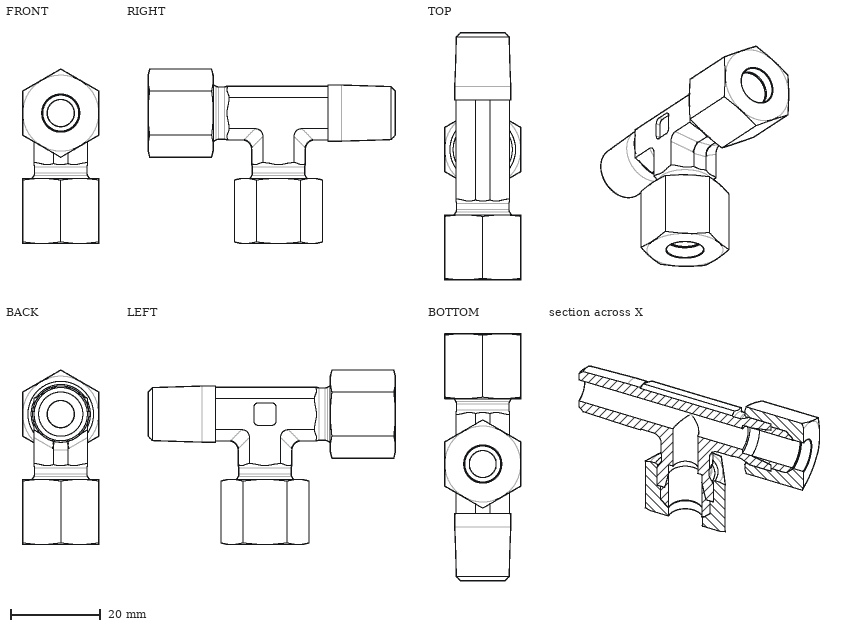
import cadquery as cq
import math

BORE_DIA = 6.0
TUBE_DIA = 8.0
ARM_WIDTH = 12.0
ARM_END = 11.0
CROTCH_RADIUS = 2.0

THREAD_DIA = 14.0
NECK_DIA = 11.7
NECK_RADIUS = 1.0
NECK_END = 13.36
FLARE_ANGLE = math.radians(30)
BODY_END = 21.0
TUBE_STOP = 14.0
SEAT_DIA = 10.0
SEAT_ANGLE = math.radians(12)

COLLAR_DIA = 12.53
COLLAR_END = 14.0
TAPER_RATIO = 1 / 16
TAPER_LENGTH = 11.0
TIP_CHAMFER = 1.0

NUT_ACROSS_FLATS = 17.0
NUT_END = 29.0
NUT_LENGTH = 14.5
NUT_HOLE_DIA = 8.2
NUT_FACE_DIA = 16.9
NUT_CHAMFER_ANGLE = math.radians(15)
NUT_MOUTH_DIA = 14.6
NUT_MOUTH_ANGLE = math.radians(60)
NUT_HOLE_CHAMFER = 0.15

RING_END = 26.2
RING_SETBACK = 0.3
RING_DIA = 12.0

PANEL_SIZE = 5.0
PANEL_CORNER_RADIUS = 1.0
PANEL_DEPTH = 1.0

TOLERANCE = 1e-4
HEX_HALF_ANGLE = math.radians(30)

COLLAR_RADIUS = COLLAR_DIA / 2
TAPER_END_RADIUS = COLLAR_RADIUS - TAPER_LENGTH * TAPER_RATIO / 2
TAPER_END = COLLAR_END + TAPER_LENGTH
RUN_END = TAPER_END + TIP_CHAMFER
HALF_WIDTH = ARM_WIDTH / 2
BORE_RADIUS = BORE_DIA / 2
TUBE_RADIUS = TUBE_DIA / 2
THREAD_RADIUS = THREAD_DIA / 2
NECK_BOTTOM = NECK_DIA / 2
FLARE_RADIUS = NECK_BOTTOM + NECK_RADIUS * (1 - math.cos(FLARE_ANGLE))
FLARE_START = NECK_END + NECK_RADIUS * math.sin(FLARE_ANGLE)
THREAD_START = FLARE_START + (THREAD_RADIUS - FLARE_RADIUS) / math.tan(FLARE_ANGLE)
SEAT_RADIUS = SEAT_DIA / 2
SEAT_DEPTH = (SEAT_RADIUS - TUBE_RADIUS) / math.tan(SEAT_ANGLE)
RING_RADIUS = RING_DIA / 2
NUT_HOLE_RADIUS = NUT_HOLE_DIA / 2
NUT_START = NUT_END - NUT_LENGTH
NUT_CORNER_RADIUS = NUT_ACROSS_FLATS / 2 / math.cos(HEX_HALF_ANGLE)
HOLE_START = RING_END + RING_SETBACK
RING_RIM = HOLE_START - (RING_RADIUS - NUT_HOLE_RADIUS)


def revolve_about_z(outline):
    """Turn a closed (radius, height) outline drawn in the XZ plane about the Z axis."""
    return outline.close().revolve(360, (0, 0, 0), (0, 1, 0))


def to_branch(part):
    """Point a part built along +Z down the branch (-Z)."""
    return part.rotate((0, 0, 0), (1, 0, 0), 180)


def to_run(part):
    """Point a part built along +Z along the run's compression end (-Y)."""
    return part.rotate((0, 0, 0), (1, 0, 0), 90)


def hex_prism(across_flats, start, length):
    """Hexagon along +Z with two flats facing +X and -X."""
    corner_dia = across_flats / math.cos(HEX_HALF_ANGLE)
    prism = cq.Workplane("XY").workplane(offset=start).polygon(6, corner_dia).extrude(length)
    return prism.rotate((0, 0, 0), (0, 0, 1), math.degrees(HEX_HALF_ANGLE))


def arm(start, length):
    """Hexagonal bar along +Z with its two Y corners cut off square."""
    bar = hex_prism(ARM_WIDTH, start, length)
    square = cq.Workplane("XY").workplane(offset=start).rect(ARM_WIDTH, ARM_WIDTH).extrude(length)
    return bar.intersect(square)


def spigot():
    """Neck and thread that follow an arm, along +Z and still without bore."""
    neck_start = ARM_END + NECK_RADIUS
    shoulder_radius = NECK_BOTTOM + NECK_RADIUS
    arc_middle = math.radians(45)
    outline = (
        cq.Workplane("XZ")
        .moveTo(0, ARM_END)
        .lineTo(shoulder_radius, ARM_END)
        .threePointArc(
            (shoulder_radius - NECK_RADIUS * math.sin(arc_middle),
             neck_start - NECK_RADIUS * math.cos(arc_middle)),
            (NECK_BOTTOM, neck_start),
        )
        .lineTo(NECK_BOTTOM, NECK_END)
        .threePointArc(
            (shoulder_radius - NECK_RADIUS * math.cos(FLARE_ANGLE / 2),
             NECK_END + NECK_RADIUS * math.sin(FLARE_ANGLE / 2)),
            (FLARE_RADIUS, FLARE_START),
        )
        .lineTo(THREAD_RADIUS, THREAD_START)
        .lineTo(THREAD_RADIUS, BODY_END)
        .lineTo(0, BODY_END)
    )
    solid = revolve_about_z(outline)
    shoulder = arm(ARM_END, NECK_RADIUS)
    rest = cq.Workplane("XY").workplane(offset=neck_start).circle(THREAD_RADIUS).extrude(BODY_END - neck_start)
    return solid.intersect(shoulder.union(rest))


def passage():
    """Bore, tube socket and conical ring seat of one compression end, along +Z."""
    seat_start = BODY_END - SEAT_DEPTH
    return revolve_about_z(
        cq.Workplane("XZ")
        .lineTo(BORE_RADIUS, 0)
        .lineTo(BORE_RADIUS, TUBE_STOP)
        .lineTo(TUBE_RADIUS, TUBE_STOP)
        .lineTo(TUBE_RADIUS, seat_start)
        .lineTo(SEAT_RADIUS, BODY_END)
        .lineTo(0, BODY_END)
    )


def taper_end():
    """Collar and tapered thread at the +Y end of the run."""
    return (
        cq.Workplane("YZ")
        .moveTo(ARM_END, 0)
        .lineTo(ARM_END, COLLAR_RADIUS)
        .lineTo(COLLAR_END, COLLAR_RADIUS)
        .lineTo(TAPER_END, TAPER_END_RADIUS)
        .lineTo(RUN_END, TAPER_END_RADIUS - TIP_CHAMFER)
        .lineTo(RUN_END, 0)
        .close()
        .revolve(360, (0, 0, 0), (1, 0, 0))
    )


def is_crotch(edge):
    """True for an edge lying where run and branch meet (equal |y| and |z| at both ends)."""
    return all(abs(abs(v.Y) + v.Z) < TOLERANCE and abs(v.Y) > TOLERANCE for v in edge.Vertices())


def make_body():
    """Tee body with bores, threads and logo panel, in its final place."""
    run = to_run(arm(-ARM_END, 2 * ARM_END))
    body = run.union(to_branch(arm(0, ARM_END)))
    crotch_edges = [edge for edge in body.edges().vals() if is_crotch(edge)]
    body = body.newObject(crotch_edges).fillet(CROTCH_RADIUS)

    for place in (to_run, to_branch):
        body = body.union(place(spigot()))
    body = body.union(taper_end())

    for place in (to_run, to_branch):
        body = body.cut(place(passage()))
    threaded_bore = cq.Workplane("XZ").circle(BORE_RADIUS).extrude(-RUN_END)
    body = body.cut(threaded_bore)

    panel = (
        cq.Workplane("YZ")
        .workplane(offset=-HALF_WIDTH)
        .rect(PANEL_SIZE, PANEL_SIZE)
        .extrude(PANEL_DEPTH)
        .edges("|X")
        .fillet(PANEL_CORNER_RADIUS)
    )
    return body.cut(panel)


def make_nut():
    """Union nut along +Z."""
    face_radius = NUT_FACE_DIA / 2
    chamfer_height = (NUT_CORNER_RADIUS - face_radius) * math.tan(NUT_CHAMFER_ANGLE)
    chamfer_envelope = revolve_about_z(
        cq.Workplane("XZ")
        .moveTo(0, NUT_START)
        .lineTo(face_radius, NUT_START)
        .lineTo(NUT_CORNER_RADIUS, NUT_START + chamfer_height)
        .lineTo(NUT_CORNER_RADIUS, NUT_END - chamfer_height)
        .lineTo(face_radius, NUT_END)
        .lineTo(0, NUT_END)
    )
    mouth_radius = NUT_MOUTH_DIA / 2
    mouth_slope = math.tan(NUT_MOUTH_ANGLE)
    flare_slope = math.tan(FLARE_ANGLE)
    flare_radius_at_mouth = FLARE_RADIUS + (NUT_START - FLARE_START) * flare_slope
    mouth_depth = (mouth_radius - flare_radius_at_mouth) / (mouth_slope + flare_slope)
    cavity = revolve_about_z(
        cq.Workplane("XZ")
        .moveTo(0, NUT_START)
        .lineTo(mouth_radius, NUT_START)
        .lineTo(mouth_radius - mouth_depth * mouth_slope, NUT_START + mouth_depth)
        .lineTo(THREAD_RADIUS, THREAD_START)
        .lineTo(THREAD_RADIUS, BODY_END)
        .lineTo(RING_RADIUS, BODY_END)
        .lineTo(RING_RADIUS, RING_RIM)
        .lineTo(NUT_HOLE_RADIUS, HOLE_START)
        .lineTo(NUT_HOLE_RADIUS, NUT_END - NUT_HOLE_CHAMFER)
        .lineTo(NUT_HOLE_RADIUS + NUT_HOLE_CHAMFER, NUT_END)
        .lineTo(0, NUT_END)
    )
    return hex_prism(NUT_ACROSS_FLATS, NUT_START, NUT_LENGTH).intersect(chamfer_envelope).cut(cavity)


def make_ring():
    """Cutting ring along +Z: a nose in the body's seat and a rim held by the nut."""
    return revolve_about_z(
        cq.Workplane("XZ")
        .moveTo(TUBE_RADIUS, BODY_END - SEAT_DEPTH)
        .lineTo(SEAT_RADIUS, BODY_END)
        .lineTo(RING_RADIUS, BODY_END)
        .lineTo(RING_RADIUS, RING_RIM)
        .lineTo(NUT_HOLE_RADIUS + RING_SETBACK, RING_END)
        .lineTo(TUBE_RADIUS, RING_END)
    )


body = make_body()
fasteners = [place(make()).val() for place in (to_run, to_branch) for make in (make_nut, make_ring)]

result = cq.Compound.makeCompound([body.val(), *fasteners])